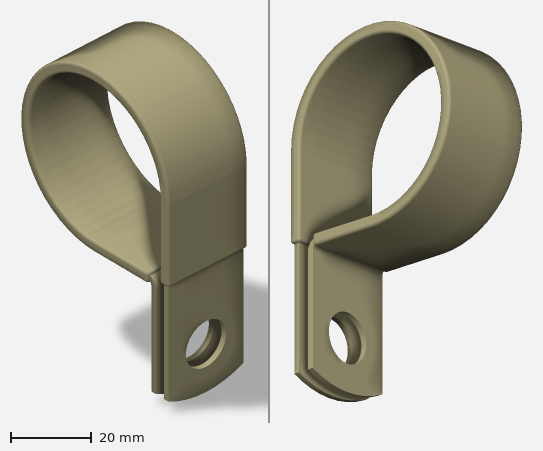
import cadquery as cq
import math

loop_radius = 26.9
total_height = 88.8
cover_width = 27.0
strap_thickness = 1.6
cover_wall = 0.8
inner_leg_face = 21.5
bend_radius = 3.2
cover_bottom_end = 19.4
cover_side_end = -24.6
hole_diameter = 13.6
hole_above_tip = 14.3
tip_rise = 2.9

cover_inner_radius = loop_radius - strap_thickness - 2 * cover_wall
strap_outer_radius = loop_radius - cover_wall
strap_inner_radius = strap_outer_radius - strap_thickness
strap_width = cover_width - 2 * cover_wall
tip_z = loop_radius - total_height
bend_start = inner_leg_face - bend_radius
diagonal = math.sqrt(0.5)


def loop_band(outer, inner, bottom_end, side_end, width):
    """Three-quarter loop with a horizontal bottom run and a vertical side run."""
    return (
        cq.Workplane("XZ")
        .moveTo(bottom_end, -outer)
        .lineTo(0, -outer)
        .threePointArc((-outer * diagonal, outer * diagonal), (outer, 0))
        .lineTo(outer, side_end)
        .lineTo(inner, side_end)
        .lineTo(inner, 0)
        .threePointArc((-inner * diagonal, inner * diagonal), (0, -inner))
        .lineTo(bottom_end, -inner)
        .close()
        .extrude(width / 2, both=True)
    )


def make_cover():
    band = loop_band(loop_radius, cover_inner_radius, cover_bottom_end, cover_side_end, cover_width)
    side_rims = band.faces("|Y").edges()
    bottom_end_rim = band.faces(cq.selectors.NearestToPointSelector(
        (cover_bottom_end, 0, -(loop_radius + cover_inner_radius) / 2))).edges()
    side_end_rim = band.faces(cq.selectors.NearestToPointSelector(
        ((loop_radius + cover_inner_radius) / 2, 0, cover_side_end))).edges()
    return side_rims.add(bottom_end_rim).add(side_end_rim).fillet(cover_wall)


def make_inner_leg():
    """Quarter bend down from the horizontal run, then a straight leg."""
    bend_z = -strap_inner_radius - bend_radius
    inside_radius = bend_radius - strap_thickness
    return (
        cq.Workplane("XZ")
        .moveTo(bend_start, -strap_inner_radius)
        .threePointArc(
            (bend_start + bend_radius * diagonal, bend_z + bend_radius * diagonal),
            (inner_leg_face, bend_z),
        )
        .lineTo(inner_leg_face, tip_z)
        .lineTo(inner_leg_face - strap_thickness, tip_z)
        .lineTo(inner_leg_face - strap_thickness, bend_z)
        .threePointArc(
            (bend_start + inside_radius * diagonal, bend_z + inside_radius * diagonal),
            (bend_start, -strap_outer_radius),
        )
        .close()
        .extrude(strap_width / 2, both=True)
    )


def make_leg_outline():
    """Leg silhouette with a rounded tip and a bolt hole, extruded through both legs."""
    half_width = strap_width / 2
    return (
        cq.Workplane("YZ")
        .moveTo(-half_width, loop_radius)
        .lineTo(-half_width, tip_z + tip_rise)
        .threePointArc((0, tip_z), (half_width, tip_z + tip_rise))
        .lineTo(half_width, loop_radius)
        .close()
        .moveTo(0, tip_z + hole_above_tip)
        .circle(hole_diameter / 2)
        .extrude(loop_radius, both=True)
    )


strap_loop = loop_band(strap_outer_radius, strap_inner_radius, bend_start, tip_z, strap_width)
strap = strap_loop.union(make_inner_leg()).intersect(make_leg_outline())

result = make_cover().union(strap)